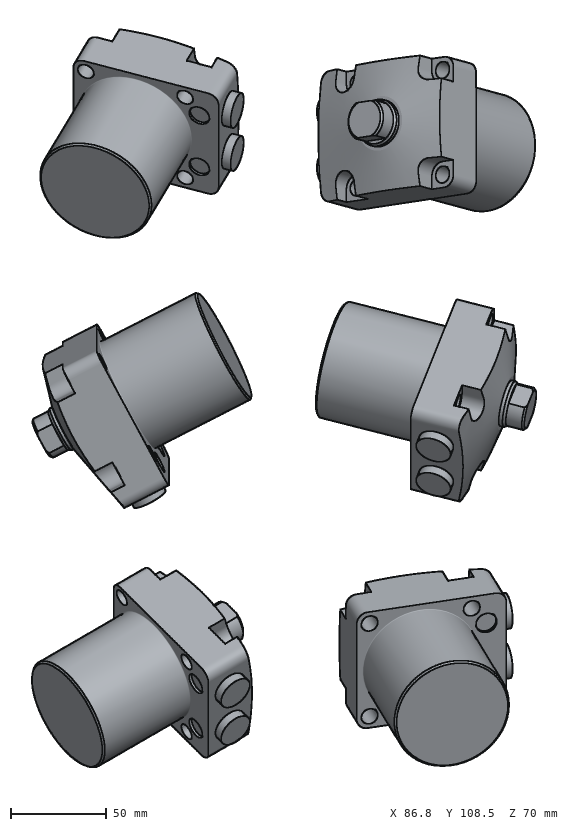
import cadquery as cq
import math

TOTAL_LENGTH = 108.5
TOTAL_WIDTH = 86.8

BARREL_RADIUS = 31.5
BARREL_LENGTH = 57.5
BARREL_CHAMFER = 1.0
BARREL_ROOT_FILLET = 0.4

HEIGHT = 70.0
HALF_HEIGHT = HEIGHT / 2
PORT_SIDE_X = 46.9
CORNER_RADIUS = 6.0
FLANGE_DEPTH = 37.5
CROWN_RADIUS = 14.5
CROWN_SLOPE = math.radians(15)

SCREW_OFFSET = 28.0
SCREW_HOLE_DIAMETER = 9.0
SCREW_SEAT_DIAMETER = 14.0
SCREW_SEAT_Y = 20.1

RECESS_X = 36.0
RECESS_Z = 17.9
RECESS_DIAMETER = 11.4
RECESS_DEPTH = 1.6

PLUG_DIAMETER = 19.0
PLUG_LENGTH = TOTAL_WIDTH - HALF_HEIGHT - PORT_SIDE_X
PLUG_Y = 14.1
PLUG_Z = 15.0

COLLAR_RADIUS = 12.5
COLLAR_LENGTH = 3.6
COLLAR_CHAMFER_LENGTH = 1.5
ROD_END_RADIUS = 11.5
ROD_END_CHAMFER = 1.1
ROD_ACROSS_FLATS = 18.9


def box(x_min, x_max, y_min, y_max, z_min, z_max):
    """Axis-aligned box given by its limits."""
    size = (x_max - x_min, y_max - y_min, z_max - z_min)
    return cq.Workplane("XY").box(*size, centered=False).translate((x_min, y_min, z_min))


def y_cylinder(diameter, x, z, y_min, y_max):
    """Cylinder parallel to Y."""
    return (
        cq.Workplane("XZ", origin=(x, y_min, z))
        .circle(diameter / 2)
        .extrude(-(y_max - y_min))
    )


def make_flange_block():
    """Rounded block, with its rod side sloping away conically around a flat crown."""
    block = box(-HALF_HEIGHT, PORT_SIDE_X, 0, FLANGE_DEPTH, -HALF_HEIGHT, HALF_HEIGHT)
    block = block.edges("|Y").fillet(CORNER_RADIUS)
    cone_radius = PORT_SIDE_X + HALF_HEIGHT
    rim_y = FLANGE_DEPTH - (cone_radius - CROWN_RADIUS) * math.tan(CROWN_SLOPE)
    envelope = (
        cq.Workplane("XY")
        .polyline([
            (0, 0),
            (cone_radius, 0),
            (cone_radius, rim_y),
            (CROWN_RADIUS, FLANGE_DEPTH),
            (0, FLANGE_DEPTH),
        ])
        .close()
        .revolve(360, (0, 0, 0), (0, 1, 0))
    )
    return block.intersect(envelope)


def make_barrel():
    """Barrel with a chamfered end; it reaches y = 0."""
    return (
        cq.Workplane("XZ")
        .circle(BARREL_RADIUS)
        .extrude(BARREL_LENGTH)
        .faces("<Y")
        .chamfer(BARREL_CHAMFER)
    )


def make_screw_seat(x_side, z_side):
    """Clearance above one screw seat: open to the nearest Z side and, on the -X side, to that side too."""
    seat_radius = SCREW_SEAT_DIAMETER / 2
    x = x_side * SCREW_OFFSET
    z = z_side * SCREW_OFFSET
    seat = y_cylinder(SCREW_SEAT_DIAMETER, x, z, SCREW_SEAT_Y, FLANGE_DEPTH)
    z_low, z_high = sorted((z, z_side * HALF_HEIGHT))
    slot = box(x - seat_radius, x + seat_radius, SCREW_SEAT_Y, FLANGE_DEPTH, z_low, z_high)
    seat = seat.union(slot)
    if x_side < 0:
        z_low, z_high = sorted((z - z_side * seat_radius, z_side * HALF_HEIGHT))
        seat = seat.union(box(-HALF_HEIGHT, x, SCREW_SEAT_Y, FLANGE_DEPTH, z_low, z_high))
    return seat


def make_housing():
    """Flange block and barrel in one piece, with screw holes, screw seats and oil-port recesses."""
    housing = make_flange_block().union(make_barrel())
    root_reach = (BARREL_RADIUS + HALF_HEIGHT) / 2
    barrel_root = cq.selectors.BoxSelector(
        (-root_reach, -BARREL_ROOT_FILLET, -root_reach),
        (root_reach, BARREL_ROOT_FILLET, root_reach),
        boundingbox=True,
    )
    housing = housing.edges(barrel_root).fillet(BARREL_ROOT_FILLET)
    for z_side in (-1, 1):
        for x_side in (-1, 1):
            hole_x = x_side * SCREW_OFFSET
            hole_z = z_side * SCREW_OFFSET
            housing = housing.cut(y_cylinder(SCREW_HOLE_DIAMETER, hole_x, hole_z, 0, FLANGE_DEPTH))
            housing = housing.cut(make_screw_seat(x_side, z_side))
        housing = housing.cut(y_cylinder(RECESS_DIAMETER, RECESS_X, z_side * RECESS_Z, 0, RECESS_DEPTH))
    return housing


def make_rod():
    """Rod standing on the crown: a chamfered collar, then an end with two flats facing +Z and -Z."""
    tip_y = TOTAL_LENGTH - BARREL_LENGTH
    shoulder_y = FLANGE_DEPTH + COLLAR_LENGTH
    rod = (
        cq.Workplane("XY")
        .polyline([
            (0, FLANGE_DEPTH),
            (COLLAR_RADIUS, FLANGE_DEPTH),
            (COLLAR_RADIUS, shoulder_y - COLLAR_CHAMFER_LENGTH),
            (ROD_END_RADIUS, shoulder_y),
            (ROD_END_RADIUS, tip_y - ROD_END_CHAMFER),
            (ROD_END_RADIUS - ROD_END_CHAMFER, tip_y),
            (0, tip_y),
        ])
        .close()
        .revolve(360, (0, 0, 0), (0, 1, 0))
    )
    half_flats = ROD_ACROSS_FLATS / 2
    for z_low, z_high in ((half_flats, ROD_END_RADIUS), (-ROD_END_RADIUS, -half_flats)):
        rod = rod.cut(box(-ROD_END_RADIUS, ROD_END_RADIUS, shoulder_y, tip_y, z_low, z_high))
    return rod


def make_port_plug(z):
    """Round plug standing on the +X side of the flange block."""
    return cq.Workplane("YZ", origin=(PORT_SIDE_X, PLUG_Y, z)).circle(PLUG_DIAMETER / 2).extrude(PLUG_LENGTH)


housing = make_housing()
rod = make_rod()
port_plugs = [make_port_plug(z) for z in (-PLUG_Z, PLUG_Z)]

result = cq.Compound.makeCompound([housing.val(), rod.val(), *[plug.val() for plug in port_plugs]])